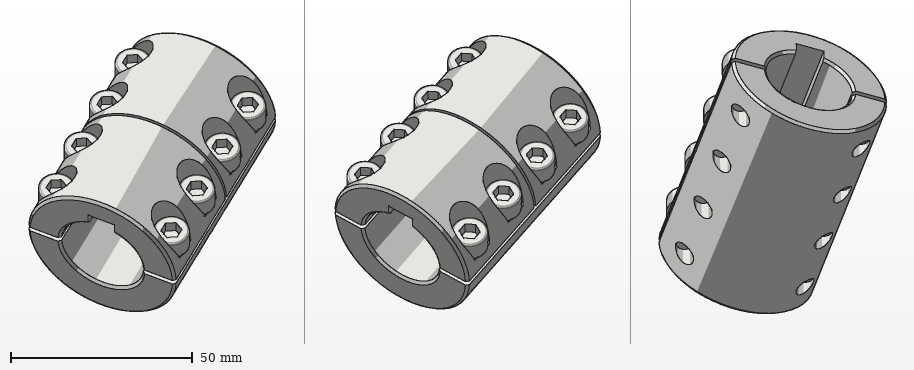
import cadquery as cq
import math

LENGTH = 65.0
OUTER_RADIUS = 22.5
BORE_RADIUS = 12.5
EDGE_CHAMFER = 0.8
SPLIT_GAP = 1.55
CENTER_GAP = 0.8

KEYWAY_WIDTH = 8.0
KEYWAY_TOP = 15.8

SCREWS_PER_SIDE = 4
SCREW_PITCH = LENGTH / SCREWS_PER_SIDE
HEAD_RADIUS = 5.0
HEAD_HEIGHT = 6.0
HEAD_FILLET = 0.5
SHANK_RADIUS = 3.0
SHANK_LENGTH = 14.0
SOCKET_FLATS = 5.0
SOCKET_DEPTH = 3.5
SCREW_X = OUTER_RADIUS - HEAD_RADIUS

SEAT_Z = 5.65
COUNTERBORE_RADIUS = 5.5
TAPPED_HOLE_RADIUS = 2.5

screw_positions = [
    (side * SCREW_X, (index - (SCREWS_PER_SIDE - 1) / 2) * SCREW_PITCH)
    for side in (-1, 1)
    for index in range(SCREWS_PER_SIDE)
]


def make_sleeve():
    """Full tube with all four rim edges chamfered."""
    return (
        cq.Workplane("XZ")
        .circle(OUTER_RADIUS)
        .circle(BORE_RADIUS)
        .extrude(LENGTH / 2, both=True)
        .faces("<Y or >Y")
        .edges()
        .chamfer(EDGE_CHAMFER)
    )


def make_keyway():
    """Keyway in the upper shells, open to the bore over the whole length."""
    return cq.Workplane("XY").box(KEYWAY_WIDTH, LENGTH, KEYWAY_TOP, centered=(True, True, False))


def make_gaps():
    """Horizontal split plus the crosswise gap that parts the upper shells."""
    width = 2 * OUTER_RADIUS
    split = cq.Workplane("XY").box(width, LENGTH, SPLIT_GAP)
    center = cq.Workplane("XY").box(width, CENTER_GAP, OUTER_RADIUS, centered=(True, True, False))
    return split.union(center)


def make_screw_holes():
    """Counterbores open at the top and tapped holes open at the bottom."""
    counterbores = (
        cq.Workplane("XY", origin=(0, 0, SEAT_Z))
        .pushPoints(screw_positions)
        .circle(COUNTERBORE_RADIUS)
        .extrude(OUTER_RADIUS - SEAT_Z)
    )
    tapped_holes = (
        cq.Workplane("XY", origin=(0, 0, -OUTER_RADIUS))
        .pushPoints(screw_positions)
        .circle(TAPPED_HOLE_RADIUS)
        .extrude(OUTER_RADIUS)
    )
    return counterbores.union(tapped_holes)


def make_screw(x, y):
    """Socket head screw standing on the counterbore floor, hex corners along Y."""
    seat = cq.Workplane("XY", origin=(x, y, SEAT_Z))
    head = seat.circle(HEAD_RADIUS).extrude(HEAD_HEIGHT).faces(">Z").edges().fillet(HEAD_FILLET)
    shank = seat.circle(SHANK_RADIUS).extrude(-SHANK_LENGTH)
    corner_diameter = SOCKET_FLATS / math.cos(math.pi / 6)
    socket = (
        cq.Workplane("XY", origin=(x, y, SEAT_Z + HEAD_HEIGHT - SOCKET_DEPTH))
        .transformed(rotate=(0, 0, 90))
        .polygon(6, corner_diameter)
        .extrude(SOCKET_DEPTH)
    )
    return head.cut(socket).union(shank)


result = make_sleeve().cut(make_keyway()).cut(make_gaps()).cut(make_screw_holes())
for screw_x, screw_y in screw_positions:
    result = result.union(make_screw(screw_x, screw_y))